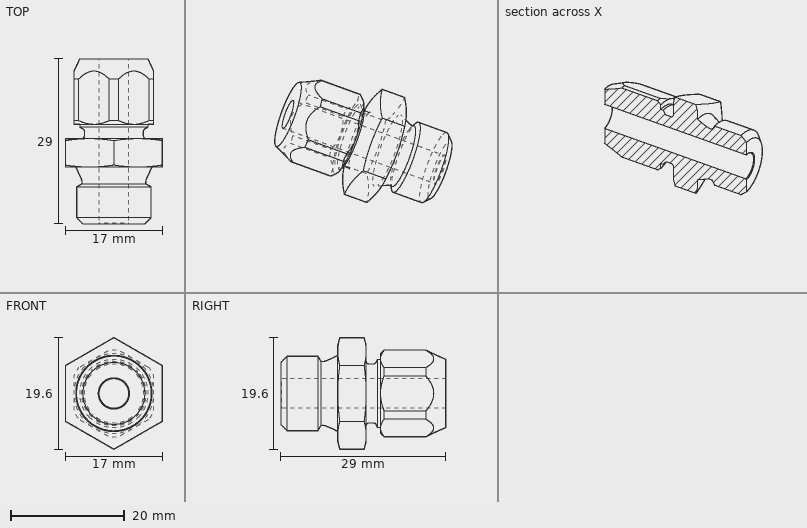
import cadquery as cq
import math


stud_radius = 6.56
stud_end_chamfer = 1.12
stud_length = 7.05
stud_shoulder_angle = 60

undercut_arc_radius = 1.5
seal_cone_radius = 6.7
seal_cone_angle = 25
seal_cone_start = 8.0

hex_start = 10.0
hex_width = 17.0
hex_length = 5.0
hex_chamfer_radius = 8.475
hex_chamfer_angle = 15

neck_radius = 5.2
neck_body_fillet = 0.5
neck_collar_fillet = 0.4
collar_radius = 6.0
collar_start = 17.0
collar_angle = 60

nut_start = 17.5
nut_end = 29.0
nut_width = 14.0
nut_corner_radius = 15.3 / 2
nut_front_chamfer = nut_corner_radius - nut_width / 2
nut_cone_end_radius = 6.0
nut_cone_angle = 25

bore_radius = 5.2 / 2
bore_chamfer = 0.15

hex_end = hex_start + hex_length


def tan_deg(angle):
    return math.tan(math.radians(angle))


def sin_deg(angle):
    return math.sin(math.radians(angle))


def cos_deg(angle):
    return math.cos(math.radians(angle))


seal_cone_rise = (hex_start - seal_cone_start) * tan_deg(seal_cone_angle)
seal_cone_root_radius = seal_cone_radius - seal_cone_rise


def revolve_about_y(profile):
    """Revolve a (radius, y) profile a full turn about the Y axis."""
    return profile.close().revolve(360, (0, 0, 0), (0, 1, 0))


def hex_corner_radius(width):
    """Centre-to-corner distance of a hexagon of the given width across flats."""
    return width / 2 / cos_deg(30)


def hex_bar(width, start, end):
    """Hexagonal bar along Y with two flats facing +X and -X."""
    corner_radius = hex_corner_radius(width)
    corners = [
        (corner_radius * sin_deg(60 * i), corner_radius * cos_deg(60 * i))
        for i in range(6)
    ]
    plane = cq.Plane(origin=(0, start, 0), xDir=(-1, 0, 0), normal=(0, 1, 0))
    return cq.Workplane(plane).polyline(corners).close().extrude(end - start)


def undercut_point(angle):
    """Point on the undercut arc whose tangent leans outward by the given angle."""
    centre_radius = seal_cone_root_radius + undercut_arc_radius * cos_deg(seal_cone_angle)
    centre_y = seal_cone_start - undercut_arc_radius * sin_deg(seal_cone_angle)
    return (
        centre_radius - undercut_arc_radius * cos_deg(angle),
        centre_y + undercut_arc_radius * sin_deg(angle),
    )


def make_stud():
    """Stud with its end chamfer, arc undercut and sealing cone."""
    arc_bottom = undercut_point(0)
    shoulder_run = arc_bottom[1] - stud_length
    root_angle = -math.degrees(math.asin(shoulder_run / undercut_arc_radius))
    shoulder_root = undercut_point(root_angle)
    shoulder_length = (stud_radius - shoulder_root[0]) / tan_deg(stud_shoulder_angle)
    profile = (
        cq.Workplane("XY")
        .moveTo(0, 0)
        .lineTo(stud_radius - stud_end_chamfer, 0)
        .lineTo(stud_radius, stud_end_chamfer)
        .lineTo(stud_radius, stud_length - shoulder_length)
        .lineTo(*shoulder_root)
        .threePointArc(arc_bottom, (seal_cone_root_radius, seal_cone_start))
        .lineTo(seal_cone_radius, hex_start)
        .lineTo(0, hex_start)
    )
    return revolve_about_y(profile)


def make_body_hex():
    """Hexagon with its corners chamfered at both ends."""
    corner_radius = hex_corner_radius(hex_width)
    chamfer_length = (corner_radius - hex_chamfer_radius) * tan_deg(hex_chamfer_angle)
    envelope = (
        cq.Workplane("XY")
        .moveTo(0, hex_start)
        .lineTo(hex_chamfer_radius, hex_start)
        .lineTo(corner_radius, hex_start + chamfer_length)
        .lineTo(corner_radius, hex_end - chamfer_length)
        .lineTo(hex_chamfer_radius, hex_end)
        .lineTo(0, hex_end)
    )
    return hex_bar(hex_width, hex_start, hex_end).intersect(revolve_about_y(envelope))


def make_neck():
    """Neck filleted into the body hexagon and up to the collar behind the nut."""
    body_arc_reach = neck_body_fillet * (1 - cos_deg(45))
    collar_arc_rise = neck_collar_fillet * (1 - cos_deg(collar_angle))
    collar_cone_rise = collar_radius - neck_radius - collar_arc_rise
    collar_cone_start = collar_start - collar_cone_rise / tan_deg(collar_angle)
    collar_arc_start = collar_cone_start - neck_collar_fillet * sin_deg(collar_angle)
    collar_arc_mid = (
        neck_radius + neck_collar_fillet * (1 - cos_deg(collar_angle / 2)),
        collar_arc_start + neck_collar_fillet * sin_deg(collar_angle / 2),
    )
    profile = (
        cq.Workplane("XY")
        .moveTo(0, hex_end)
        .lineTo(neck_radius + neck_body_fillet, hex_end)
        .threePointArc(
            (neck_radius + body_arc_reach, hex_end + body_arc_reach),
            (neck_radius, hex_end + neck_body_fillet),
        )
        .lineTo(neck_radius, collar_arc_start)
        .threePointArc(collar_arc_mid, (neck_radius + collar_arc_rise, collar_cone_start))
        .lineTo(collar_radius, collar_start)
        .lineTo(collar_radius, nut_start)
        .lineTo(0, nut_start)
    )
    return revolve_about_y(profile)


def make_nut():
    """Hexagonal nut with rounded corners, a front chamfer and a conical rear end."""
    cone_length = (nut_corner_radius - nut_cone_end_radius) / tan_deg(nut_cone_angle)
    envelope = (
        cq.Workplane("XY")
        .moveTo(0, nut_start)
        .lineTo(nut_corner_radius - nut_front_chamfer, nut_start)
        .lineTo(nut_corner_radius, nut_start + nut_front_chamfer)
        .lineTo(nut_corner_radius, nut_end - cone_length)
        .lineTo(nut_cone_end_radius, nut_end)
        .lineTo(0, nut_end)
    )
    return hex_bar(nut_width, nut_start, nut_end).intersect(revolve_about_y(envelope))


def make_bore():
    """Through bore with a chamfered mouth at the stud end."""
    profile = (
        cq.Workplane("XY")
        .moveTo(0, 0)
        .lineTo(bore_radius + bore_chamfer, 0)
        .lineTo(bore_radius, bore_chamfer)
        .lineTo(bore_radius, nut_end)
        .lineTo(0, nut_end)
    )
    return revolve_about_y(profile)


result = (
    make_stud()
    .union(make_body_hex())
    .union(make_neck())
    .union(make_nut())
    .cut(make_bore())
)